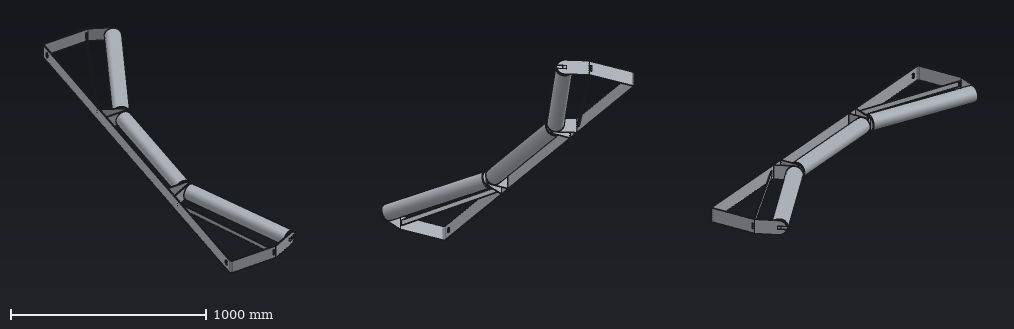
import cadquery as cq
import math


frame_length = 2000.0
plate_width = 80.0
plate_thickness = 5.0
corner_radius = 12.0
wall_height = 265.0
trough_angle = 25.0
mount_slot_inset = 48.0
mount_slot_width = 18.0
mount_slot_height = 28.0

roller_diameter = 90.0
roller_length = 640.0
roller_chamfer = 5.0
shaft_size = 18.0
support_gap = 648.0
centre_axis_height = 98.0
outer_axis_reach = 128.0

bracket_height = 125.0
strut_width = 30.0
strut_thickness = 5.0
strut_wall_height = 255.0
strut_foot_x = -420.0

half_length = frame_length / 2
support_half = support_gap / 2 + plate_thickness
tilt = math.radians(trough_angle)
axis_dir = cq.Vector(math.cos(tilt), -math.sin(tilt), 0)
up_dir = cq.Vector(math.sin(tilt), math.cos(tilt), 0)
fold = cq.Vector(-half_length, wall_height, 0)
outer_roller_middle = fold + up_dir * outer_axis_reach + axis_dir * support_half
centre_roller_middle = cq.Vector(0, centre_axis_height, 0)


def mirrored(body):
    """Copy of a left-hand body on the right-hand side."""
    return body.mirror("YZ")


def plate(points, width):
    """Closed XY outline made into a plate centred on Z = 0."""
    return cq.Workplane("XY").polyline(points).close().extrude(width / 2, both=True)


def make_roller(middle, direction):
    """Chamfered drum with a square shaft, centred on middle."""
    across = cq.Vector(0, 0, 1)
    drum_plane = cq.Plane(middle - direction * (roller_length / 2), across, direction)
    drum = (
        cq.Workplane(drum_plane)
        .circle(roller_diameter / 2)
        .extrude(roller_length)
        .edges()
        .chamfer(roller_chamfer)
    )
    shaft_plane = cq.Plane(middle - direction * support_half, across, direction)
    shaft = cq.Workplane(shaft_plane).rect(shaft_size, shaft_size).extrude(2 * support_half)
    return drum.union(shaft)


def make_strut():
    """Flat strut from the outer face of the end wall down to the base."""
    rise = strut_wall_height - plate_thickness
    slope = rise / (strut_foot_x + half_length)
    half_y = strut_thickness / 2 * math.hypot(1, slope)
    half_x = half_y / slope
    return plate(
        [
            (-half_length, strut_wall_height - half_y),
            (strut_foot_x - half_x, plate_thickness),
            (strut_foot_x + half_x, plate_thickness),
            (-half_length, strut_wall_height + half_y),
        ],
        strut_width,
    )


def make_bracket():
    """Folded plate: upright leg, short top web and tilted leg on the base."""
    def tilted_face(y, distance):
        """X of a plane square to the outer roller axis, at height y."""
        past_middle = y - outer_roller_middle.y
        return outer_roller_middle.x + distance / math.cos(tilt) + past_middle * math.tan(tilt)

    web_bottom = bracket_height - plate_thickness
    near_face = support_gap / 2
    return plate(
        [
            (-near_face, plate_thickness),
            (-near_face, bracket_height),
            (tilted_face(bracket_height, near_face), bracket_height),
            (tilted_face(plate_thickness, near_face), plate_thickness),
            (tilted_face(plate_thickness, support_half), plate_thickness),
            (tilted_face(web_bottom, support_half), web_bottom),
            (-support_half, web_bottom),
            (-support_half, plate_thickness),
        ],
        plate_width,
    )


def make_flange():
    """Tilted flange with a full round end and an open slot for the shaft."""
    radius = plate_width / 2
    slot_bottom = outer_axis_reach - shaft_size / 2
    slot_length = outer_axis_reach + radius - slot_bottom
    flange_plane = cq.Plane(fold, up_dir, axis_dir)
    blank = (
        cq.Workplane(flange_plane)
        .moveTo(0, -radius)
        .lineTo(outer_axis_reach, -radius)
        .threePointArc((outer_axis_reach + radius, 0), (outer_axis_reach, radius))
        .lineTo(0, radius)
        .close()
        .extrude(plate_thickness)
    )
    slot = (
        cq.Workplane(flange_plane)
        .center(slot_bottom + slot_length / 2, 0)
        .rect(slot_length, shaft_size)
        .extrude(plate_thickness)
    )
    return blank.cut(slot)


def make_half_frame(strut):
    """Left half of the frame, with the slot in its wall that takes the strut."""
    wall_inner = -half_length + plate_thickness
    angle_plate = plate(
        [
            (0, 0),
            (-half_length, 0),
            (-half_length, wall_height),
            (wall_inner, wall_height),
            (wall_inner, plate_thickness),
            (0, plate_thickness),
        ],
        plate_width,
    )
    angle_plate = angle_plate.edges("|Z and <X and <Y").fillet(corner_radius)
    inner_corner = cq.selectors.NearestToPointSelector((wall_inner, plate_thickness, 0))
    angle_plate = angle_plate.edges(inner_corner).fillet(corner_radius - plate_thickness)
    mount_slot = (
        cq.Workplane("XZ")
        .center(-half_length + mount_slot_inset, 0)
        .slot2D(mount_slot_height, mount_slot_width, 90)
        .extrude(-plate_thickness)
    )
    return angle_plate.union(make_flange()).cut(mount_slot).cut(strut)


outer_roller = make_roller(outer_roller_middle, axis_dir)
centre_roller = make_roller(centre_roller_middle, cq.Vector(1, 0, 0))

strut = make_strut()
bracket = make_bracket().cut(outer_roller).cut(centre_roller)

half_frame = make_half_frame(strut)
frame = half_frame.union(mirrored(half_frame))

bodies = [*frame.solids().vals(), *centre_roller.solids().vals()]
for body in (outer_roller, strut, bracket):
    bodies += [*body.solids().vals(), *mirrored(body).solids().vals()]

result = cq.Compound.makeCompound(bodies)